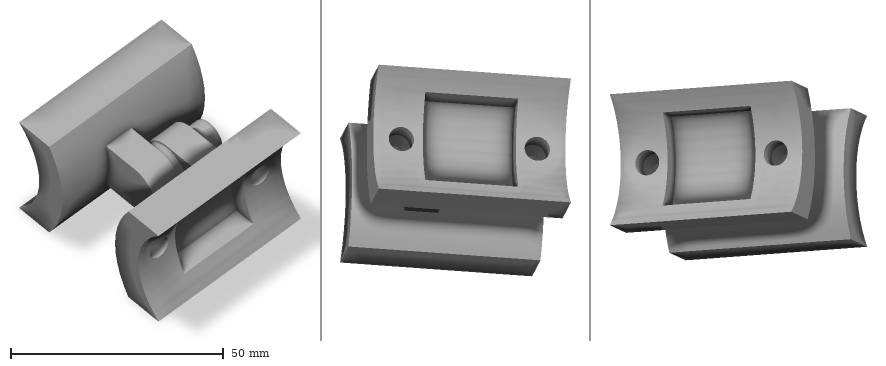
import cadquery as cq
import math

half_width = 23.95
plate_length = 46.0
plate_height = 31.35
saddle_radius = 21.2
plate_thickness = 8.0
back_radius = saddle_radius + plate_thickness
axis_offset = half_width + math.sqrt(saddle_radius**2 - (plate_height / 2) ** 2)

pocket_side = 22.25
pocket_depth = 5.0

hole_spacing = 32.55
hole_radius = 3.0
hole_tip_radius = 1.0
hole_depth = 5.0
hole_cone_depth = 1.95

knuckle_radius = 7.05
knuckle_thickness = 8.15
shoulder_radius = 6.5
shoulder_length = 2.25
pin_radius = 4.5
pin_end = 16.05
pin_chamfer_length = 0.57
pin_chamfer_radial = 0.2


def cylinder_along_y(radius, y_start, y_end, x=0.0):
    """Cylinder parallel to Y."""
    return (
        cq.Workplane("XZ", origin=(x, y_start, 0))
        .circle(radius)
        .extrude(y_start - y_end)
    )


def box_between(x_range, y_range, height):
    """Box centred on Z = 0."""
    x_size = x_range[1] - x_range[0]
    y_size = y_range[1] - y_range[0]
    return cq.Workplane("XY").box(x_size, y_size, height).translate(
        (sum(x_range) / 2, sum(y_range) / 2, 0)
    )


def pocket():
    """Square pocket with a cylindrical floor."""
    floor_radius = saddle_radius + pocket_depth
    half_side = pocket_side / 2
    opening = box_between((-axis_offset, 0), (-half_side, half_side), pocket_side)
    return opening.intersect(cylinder_along_y(floor_radius, -half_side, half_side, -axis_offset))


def blind_hole(y):
    """Cone-ended hole along X, cut from the concave side."""
    straight_end = saddle_radius + hole_depth
    tip = straight_end + hole_cone_depth
    return (
        cq.Workplane("XY", origin=(-axis_offset, y, 0))
        .lineTo(0, hole_radius)
        .lineTo(straight_end, hole_radius)
        .lineTo(tip, hole_tip_radius)
        .lineTo(tip, 0)
        .close()
        .revolve(360, (0, 0, 0), (1, 0, 0))
    )


def saddle_plate():
    """Curved plate on the -X side with its pocket and blind holes."""
    half_length = plate_length / 2
    plate = box_between((-half_width, 0), (-half_length, half_length), plate_height)
    plate = plate.intersect(cylinder_along_y(back_radius, -half_length, half_length, -axis_offset))
    plate = plate.cut(cylinder_along_y(saddle_radius, -half_length, half_length, -axis_offset))
    plate = plate.cut(pocket())
    for side in (-1, 1):
        plate = plate.cut(blind_hole(side * hole_spacing / 2))
    return plate


def knuckle(y_start):
    """Round-ended arm reaching from the -X plate to the hinge axis."""
    y_end = y_start + knuckle_thickness
    arm_root = saddle_radius + pocket_depth - axis_offset
    arm = box_between((arm_root, 0), (y_start, y_end), 2 * knuckle_radius)
    outside_plate = arm.cut(cylinder_along_y(back_radius, y_start, y_end, -axis_offset))
    return outside_plate.union(cylinder_along_y(knuckle_radius, y_start, y_end))


def hinge_pin():
    """Shoulder and chamfered pin, revolved about the Y axis."""
    return (
        cq.Workplane("XY")
        .lineTo(shoulder_radius, 0)
        .lineTo(shoulder_radius, shoulder_length)
        .lineTo(pin_radius, shoulder_length)
        .lineTo(pin_radius, pin_end - pin_chamfer_length)
        .lineTo(pin_radius - pin_chamfer_radial, pin_end)
        .lineTo(0, pin_end)
        .close()
        .revolve(360, (0, 0, 0), (0, 1, 0))
    )


def pin_half():
    """Left half of the hinge: plate, front knuckle, shoulder and pin."""
    return saddle_plate().union(knuckle(-knuckle_thickness)).union(hinge_pin())


def socket_half():
    """Right half of the hinge: mirrored plate and rear knuckle bored for the pin."""
    body = saddle_plate().union(knuckle(shoulder_length)).mirror("YZ")
    bore = cylinder_along_y(pin_radius, shoulder_length, shoulder_length + knuckle_thickness)
    return body.cut(bore)


left_half = pin_half()
right_half = socket_half()

result = cq.Compound.makeCompound([left_half.val(), right_half.val()])